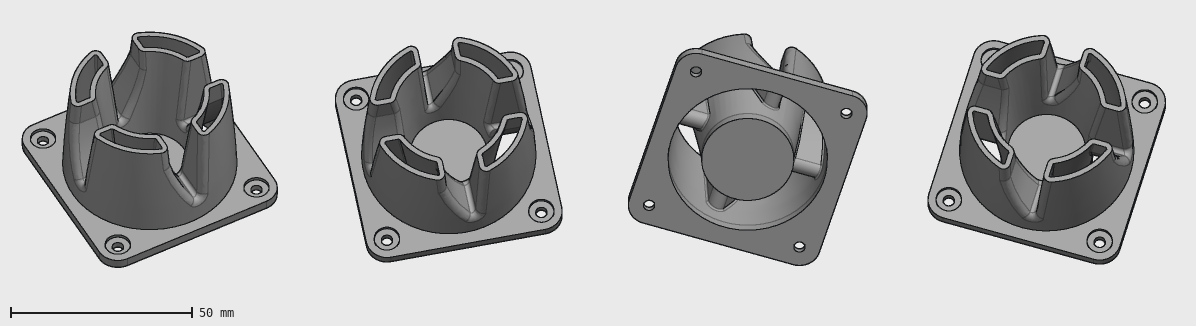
import math

import cadquery as cq

PLATE_SIDE = 55.0
PLATE_THICKNESS = 3.0
HOLE_OFFSET = 21.75
CORNER_RADIUS = PLATE_SIDE / 2 - HOLE_OFFSET
HOLE_DIAMETER = 3.1
COUNTERBORE_DIAMETER = 7.0
COUNTERBORE_DEPTH = 1.0

TOTAL_HEIGHT = 33.0
BASE_OUTER_RADIUS = 24.1
BASE_INNER_RADIUS = 10.75
TIP_OUTER_RADIUS = 22.0
TIP_INNER_RADIUS = 15.0
INLET_OUTER_RADIUS = 44.0 / 2
HUB_WALL = 2.0
NOZZLE_WALL = 1.5
OUTER_BULGE = 0.1
INNER_BULGE = 0.05

NOZZLE_COUNT = 4
SLOT_HALF_WIDTH = 4.87
SLOT_FLOOR_RADIUS = 0.93
SLOT_FLOOR_X = 2.47
SLOT_FLOOR_Z = 10.85
FLOOR_LEAN = 30.0
FLANK_MID = (-2.15, 18.2)
FLANK_MID_LEAN = 21.5
FLANK_BEND = (-4.6, 26.2)
FLANK_BEND_LEAN = 8.0
SLOT_START = 8.0
SLOT_OVERRUN = 6.0
SLOT_END = BASE_OUTER_RADIUS + SLOT_OVERRUN
SLOT_TOP = TOTAL_HEIGHT + SLOT_OVERRUN

RIM_FILLET = 2.0
DUCT_FILLET = RIM_FILLET - NOZZLE_WALL


def mounting_plate():
    """Square plate with rounded corners and a counterbored screw hole near each of them."""
    return (
        cq.Workplane("XY")
        .rect(PLATE_SIDE, PLATE_SIDE)
        .extrude(PLATE_THICKNESS)
        .edges("|Z")
        .fillet(CORNER_RADIUS)
        .faces(">Z")
        .workplane()
        .rect(2 * HOLE_OFFSET, 2 * HOLE_OFFSET, forConstruction=True)
        .vertices()
        .cboreHole(HOLE_DIAMETER, COUNTERBORE_DIAMETER, COUNTERBORE_DEPTH)
    )


def tapered_ring(base_inner, base_outer, tip_inner, tip_outer):
    """Ring from the plate's top face to the nozzle tips, with bowed sides."""
    mid_z = (PLATE_THICKNESS + TOTAL_HEIGHT) / 2

    def bowed_middle(base_radius, tip_radius, bulge):
        radius = (base_radius + tip_radius) / 2 + bulge * (base_radius - tip_radius)
        return (radius, mid_z)

    outer_middle = bowed_middle(base_outer, tip_outer, OUTER_BULGE)
    inner_middle = bowed_middle(base_inner, tip_inner, INNER_BULGE)

    ring = (
        cq.Workplane("XZ")
        .moveTo(base_inner, PLATE_THICKNESS)
        .lineTo(base_outer, PLATE_THICKNESS)
        .threePointArc(outer_middle, (tip_outer, TOTAL_HEIGHT))
        .lineTo(tip_inner, TOTAL_HEIGHT)
        .threePointArc(inner_middle, (base_inner, PLATE_THICKNESS))
        .close()
        .revolve(360, (0, 0), (0, 1))
    )
    return ring.rotate((0, 0, 0), (0, 0, 1), 180 / NOZZLE_COUNT)


def slot_cutter(clearance):
    """One slot through the -Y side, widened all round by the clearance."""

    def moved_out(point, lean, distance):
        """Shift a point square to a left flank with the given lean, away from the slot."""
        angle = math.radians(lean)
        return (point[0] - distance * math.cos(angle), point[1] - distance * math.sin(angle))

    floor_radius = SLOT_FLOOR_RADIUS + clearance
    half_width = SLOT_HALF_WIDTH + clearance
    return (
        cq.Workplane("XZ", origin=(0, -SLOT_START, 0))
        .moveTo(-half_width, SLOT_TOP)
        .lineTo(-half_width, TOTAL_HEIGHT)
        .lineTo(*moved_out(FLANK_BEND, FLANK_BEND_LEAN, clearance))
        .threePointArc(
            moved_out(FLANK_MID, FLANK_MID_LEAN, clearance),
            moved_out((SLOT_FLOOR_X, SLOT_FLOOR_Z), FLOOR_LEAN, floor_radius),
        )
        .threePointArc(
            (SLOT_FLOOR_X, SLOT_FLOOR_Z - floor_radius),
            (SLOT_FLOOR_X + floor_radius, SLOT_FLOOR_Z),
        )
        .lineTo(half_width, TOTAL_HEIGHT)
        .lineTo(half_width, SLOT_TOP)
        .close()
        .extrude(SLOT_END - SLOT_START)
    )


def slotted_ring(ring, clearance, fillet_radius):
    """Split the upper part of a ring into nozzles and round the slot rims."""
    cutter = slot_cutter(clearance)
    for index in range(NOZZLE_COUNT):
        angle = index * 360 / NOZZLE_COUNT
        ring = ring.cut(cutter.rotate((0, 0, 0), (0, 0, 1), angle))
    return ring.edges("%BSPLINE").fillet(fillet_radius)


def outer_shell():
    """Outside shape of the duct and its nozzles."""
    ring = tapered_ring(BASE_INNER_RADIUS, BASE_OUTER_RADIUS, TIP_INNER_RADIUS, TIP_OUTER_RADIUS)
    return slotted_ring(ring, 0, RIM_FILLET)


def air_passage():
    """Hollow inside of the duct, open through the plate and at every nozzle tip."""
    inlet_inner_radius = BASE_INNER_RADIUS + HUB_WALL
    ring = tapered_ring(
        inlet_inner_radius,
        INLET_OUTER_RADIUS,
        TIP_INNER_RADIUS + NOZZLE_WALL,
        TIP_OUTER_RADIUS - NOZZLE_WALL,
    )
    inlet = (
        cq.Workplane("XY")
        .circle(INLET_OUTER_RADIUS)
        .circle(inlet_inner_radius)
        .extrude(PLATE_THICKNESS)
    )
    return slotted_ring(ring, NOZZLE_WALL, DUCT_FILLET).union(inlet)


result = mounting_plate().union(outer_shell()).cut(air_passage())